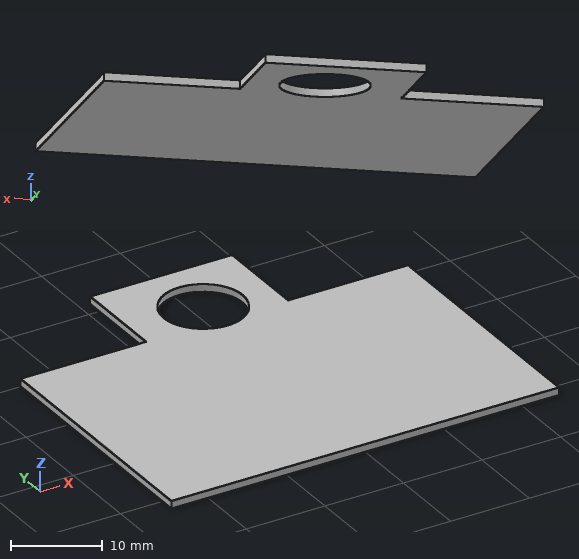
import cadquery as cq

plate_width = 49.4
overall_depth = 43.9
thickness = 1.0
body_depth = 32.0

tab_width = 18.15
tab_left = 16.0
tab_depth = overall_depth - body_depth

hole_diameter = 10.0
hole_x = 25.45
hole_y = 35.6

body = cq.Workplane("XY").box(plate_width, body_depth, thickness, centered=False)

tab = (
    cq.Workplane("XY")
    .box(tab_width, tab_depth, thickness, centered=False)
    .translate((tab_left, body_depth, 0))
)

hole = (
    cq.Workplane("XY")
    .center(hole_x, hole_y)
    .circle(hole_diameter / 2)
    .extrude(thickness)
)

result = body.union(tab).cut(hole)